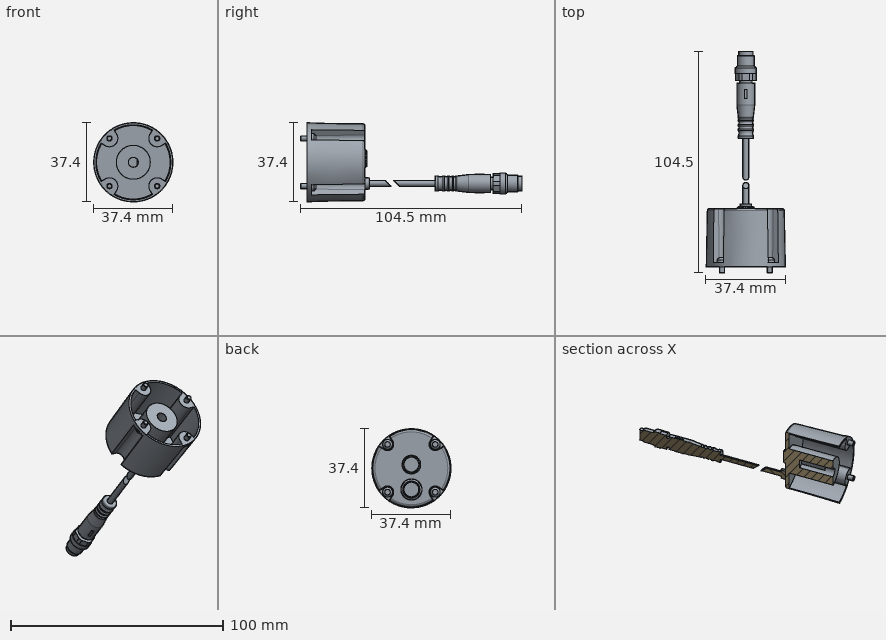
import cadquery as cq
import math


FRONT_RADIUS = 37.4 / 2
REAR_RADIUS = 36.3 / 2
HOUSING_LENGTH = 27.4
REAR_FILLET = 1.0
WALL = 1.0
FLOOR = 2.0
CAVITY_FLOOR_RADIUS = 17.35
FLOOR_FACE = HOUSING_LENGTH - FLOOR

SCREW_CIRCLE_RADIUS = 31.8 / 2
SCREW_ANGLES = [45, 135, 225, 315]
BOSS_RADIUS = 3.95
GROOVE_RADIUS = 2.7
FLANK_ANGLE = 13.0
PROFILE_REACH = 6.0
GROOVE_FLOOR = 2.1
GROOVE_TAPER = -0.5

SCREW_DIAMETER = 2.5
SCREW_PROJECTION = 3.0
SCREW_TIP_CHAMFER = 0.25
HEAD_DIAMETER = 4.7
HEAD_RIM = 1.2
HEAD_CONE = 1.05

HUB_DIAMETER = 16.0
HUB_FACE = 3.2
BORE_DIAMETER = 4.7
BORE_END = 20.0
D_START = 8.0
D_FLAT_OFFSET = 1.8

SEAL_HEIGHT_Z = 1.75
SEAL_BASE_DIAMETER = 8.8
SEAL_TOP_DIAMETER = 7.0
SEAL_HEIGHT = 1.0
SERRATIONS = 24
SERRATION_WIDTH = 0.4

CABLE_Z = -10.0
CABLE_DIAMETER = 2.9
STUB_END = 38.3
LEAD_START = 42.3
CUT_ANGLE = 45.0
CUT_SIZE = 100.0
GROMMET_BASE_DIAMETER = 5.78
GROMMET_LIP_DIAMETER = 5.4
GROMMET_LENGTH = 2.2
GROMMET_LIP = 0.4

BOOT_START = 60.4
BOOT_END = 70.7
GRIP_START = 76.2
GRIP_END = 86.6
NUT_START = 87.8
NUT_COLLAR = 91.0
NUT_END = 93.7
NUT_CONE_END = 94.65
SLEEVE_END = 99.6
PLUG_END = 101.5
BOOT_DIAMETER = 7.2
BOOT_GROOVE_DIAMETER = 6.5
BOOT_FILLET = 0.3
GRIP_DIAMETER = 8.5
NECK_DIAMETER = 5.9
NUT_DIAMETER = 10.0
NUT_GRIP_DIAMETER = 9.9
NUT_FLATS = 9.3
NUT_SIDES = 6
SLEEVE_DIAMETER = 8.0
SLEEVE_CHAMFER = 0.25
TIP_DIAMETER = 6.9
BOOT_GROOVES = [(61.75, 2.45), (64.95, 1.5), (67.1, 1.6), (69.1, 1.1)]
MARK_CENTER = 81.4
MARK_LENGTH = 4.2
MARK_WIDTH = 1.2
MARK_HEIGHT = 0.2


def turned(outline):
    """Solid of revolution about the Y axis from (radius, y) points."""
    return cq.Workplane("XY").polyline(outline).close().revolve(360, (0, 0), (0, 1))


def rod(diameter, start, end):
    """Cylinder along the Y axis."""
    radius = diameter / 2
    return turned([(0, start), (radius, start), (radius, end), (0, end)])


def station(start):
    """Sketch plane across the axis at Y = start, extruding toward +Y, with sketch y along -Z."""
    return cq.Workplane(cq.Plane((0, start, 0), (1, 0, 0), (0, 1, 0)))


def at_screws(shape):
    """Copies of a shape drawn about the axis, moved to the four screw places."""
    placed = shape.translate((SCREW_CIRCLE_RADIUS, 0, 0))
    return [placed.rotate((0, 0, 0), (0, 1, 0), angle) for angle in SCREW_ANGLES]


def flared_profile(start, radius):
    """Round nose toward the housing axis whose flanks spread outward in +X."""
    flank = math.radians(FLANK_ANGLE)
    tangent_x = -radius * math.sin(flank)
    tangent_y = radius * math.cos(flank)
    reach_y = tangent_y + (PROFILE_REACH - tangent_x) * math.tan(flank)
    return (
        station(start)
        .moveTo(PROFILE_REACH, -reach_y)
        .lineTo(tangent_x, -tangent_y)
        .threePointArc((-radius, 0), (tangent_x, tangent_y))
        .lineTo(PROFILE_REACH, reach_y)
        .close()
    )


def make_screw():
    shaft = rod(SCREW_DIAMETER, -SCREW_PROJECTION, GROOVE_FLOOR)
    shaft = shaft.faces("<Y").chamfer(SCREW_TIP_CHAMFER)
    head = rod(HEAD_DIAMETER, GROOVE_FLOOR, GROOVE_FLOOR + HEAD_RIM + HEAD_CONE)
    return shaft.union(head.faces(">Y").chamfer(HEAD_CONE))


def make_hub():
    hub = rod(HUB_DIAMETER, HUB_FACE, FLOOR_FACE)
    bore = rod(BORE_DIAMETER, HUB_FACE, BORE_END)
    flat = cq.Workplane("XY").box(
        BORE_DIAMETER, BORE_END - D_START, BORE_DIAMETER, centered=(False, False, True)
    ).translate((D_FLAT_OFFSET, D_START, 0))
    return hub.cut(bore.cut(flat))


def make_seal():
    """Cone frustum with radial serrations, standing on the rear face."""
    top = HOUSING_LENGTH + SEAL_HEIGHT
    seal = turned([
        (0, HOUSING_LENGTH),
        (SEAL_BASE_DIAMETER / 2, HOUSING_LENGTH),
        (SEAL_TOP_DIAMETER / 2, top),
        (0, top),
    ])
    notch_length = (SEAL_BASE_DIAMETER - SEAL_TOP_DIAMETER) / 2
    notch = cq.Workplane("XY").box(notch_length, SEAL_HEIGHT, SERRATION_WIDTH).translate(
        (SEAL_BASE_DIAMETER / 2, HOUSING_LENGTH + SEAL_HEIGHT / 2, 0)
    )
    for index in range(SERRATIONS):
        seal = seal.cut(notch.rotate((0, 0, 0), (0, 1, 0), index * 360 / SERRATIONS))
    return seal.translate((0, 0, SEAL_HEIGHT_Z))


def make_housing():
    envelope = turned([
        (0, 0),
        (FRONT_RADIUS, 0),
        (REAR_RADIUS, HOUSING_LENGTH),
        (0, HOUSING_LENGTH),
    ])
    envelope = envelope.faces(">Y").edges().fillet(REAR_FILLET)
    cavity = turned([
        (0, 0),
        (FRONT_RADIUS - WALL, 0),
        (CAVITY_FLOOR_RADIUS, FLOOR_FACE),
        (0, FLOOR_FACE),
    ])
    housing = envelope.cut(cavity)
    for boss in at_screws(flared_profile(0, BOSS_RADIUS).extrude(HOUSING_LENGTH)):
        housing = housing.union(boss.intersect(envelope))
    groove_length = HOUSING_LENGTH - GROOVE_FLOOR
    groove = flared_profile(GROOVE_FLOOR, GROOVE_RADIUS).extrude(groove_length, taper=GROOVE_TAPER)
    for cutter in at_screws(groove):
        housing = housing.cut(cutter)
    for screw in at_screws(make_screw()):
        housing = housing.union(screw)
    return housing.union(make_hub()).union(make_seal())


def cut_block(center):
    """Large block on the +Y side of the slanted cable cut through the cable axis at Y = center."""
    block = cq.Workplane("XY").box(CUT_SIZE, CUT_SIZE, CUT_SIZE, centered=(True, False, True))
    return block.rotate((0, 0, 0), (1, 0, 0), CUT_ANGLE).translate((0, center, 0))


def make_cable_stub():
    """Grommet with the short cable end that leaves the housing."""
    grommet_end = HOUSING_LENGTH + GROMMET_LENGTH
    grommet = turned([
        (0, HOUSING_LENGTH),
        (GROMMET_BASE_DIAMETER / 2, HOUSING_LENGTH),
        (GROMMET_LIP_DIAMETER / 2, grommet_end - GROMMET_LIP),
        (GROMMET_LIP_DIAMETER / 2, grommet_end),
        (0, grommet_end),
    ])
    cable = rod(CABLE_DIAMETER, HOUSING_LENGTH, STUB_END + CABLE_DIAMETER)
    cable = cable.cut(cut_block(STUB_END))
    return grommet.union(cable).translate((0, 0, CABLE_Z))


def make_nut():
    """Coupling nut: round collar with a cone, and a hexagonal grip behind it."""
    collar = turned([
        (0, NUT_COLLAR),
        (NUT_DIAMETER / 2, NUT_COLLAR),
        (NUT_DIAMETER / 2, NUT_END),
        (SLEEVE_DIAMETER / 2, NUT_CONE_END),
        (0, NUT_CONE_END),
    ])
    outline = station(NUT_START).polygon(NUT_SIDES, NUT_FLATS, circumscribed=True)
    hexagon = outline.extrude(NUT_COLLAR - NUT_START)
    hexagon = hexagon.rotate((0, 0, 0), (0, 1, 0), 180 / NUT_SIDES)
    grip = hexagon.intersect(rod(NUT_GRIP_DIAMETER, NUT_START, NUT_COLLAR))
    return collar.union(grip)


def concave_ring(start, end):
    """Ring that cuts a groove with an arc-shaped bottom into the boot."""
    rim = BOOT_DIAMETER / 2
    return (
        cq.Workplane("XY")
        .moveTo(rim, start)
        .threePointArc((BOOT_GROOVE_DIAMETER / 2, (start + end) / 2), (rim, end))
        .close()
        .revolve(360, (0, 0), (0, 1))
    )


def make_boot():
    """Strain relief with grooves around it, widening into the plug grip."""
    boot = turned([
        (0, BOOT_START),
        (BOOT_DIAMETER / 2, BOOT_START),
        (BOOT_DIAMETER / 2, BOOT_END),
        (GRIP_DIAMETER / 2, GRIP_START),
        (GRIP_DIAMETER / 2, GRIP_END),
        (0, GRIP_END),
    ])
    for start, length in BOOT_GROOVES:
        boot = boot.cut(concave_ring(start, start + length))
    boot = boot.faces("<Y").edges().fillet(BOOT_FILLET)
    marks = cq.Workplane("XY").box(MARK_WIDTH, MARK_LENGTH, GRIP_DIAMETER + 2 * MARK_HEIGHT)
    return boot.union(marks.translate((0, MARK_CENTER, 0)))


def make_plug_lead():
    """Plug with its length of cable."""
    cable = rod(CABLE_DIAMETER, LEAD_START - CABLE_DIAMETER, BOOT_START).intersect(cut_block(LEAD_START))
    neck = rod(NECK_DIAMETER, GRIP_END, NUT_START)
    sleeve = rod(SLEEVE_DIAMETER, NUT_CONE_END, SLEEVE_END)
    sleeve = sleeve.faces(">Y").chamfer(SLEEVE_CHAMFER)
    tip = rod(TIP_DIAMETER, SLEEVE_END, PLUG_END)
    lead = cable
    for section in (make_boot(), neck, make_nut(), sleeve, tip):
        lead = lead.union(section)
    return lead.translate((0, 0, CABLE_Z))


housing = make_housing()
cable_stub = make_cable_stub()
plug_lead = make_plug_lead()

result = cq.Compound.makeCompound([housing.val(), cable_stub.val(), plug_lead.val()])